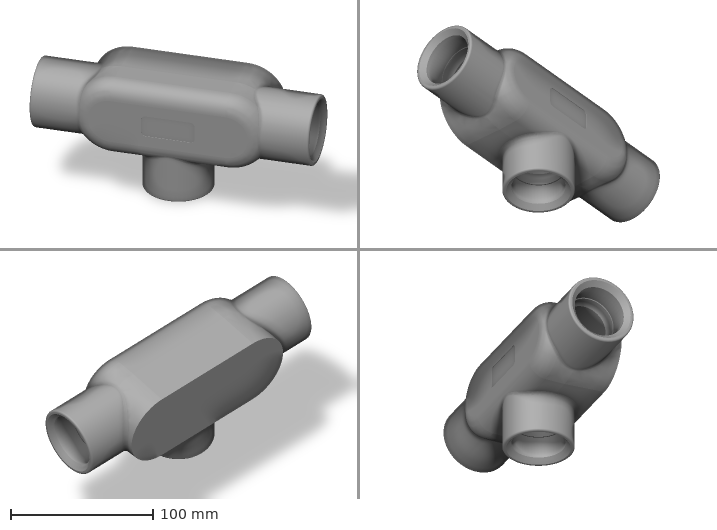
import cadquery as cq
import math

run_length = 203.5
branch_reach = 59.6
port_diameter = 50.9
port_radius = port_diameter / 2
port_root = 20.3
rim_round = 1.5

mouth_radius = 22.8
chamfer_depth = 3.7
socket_radius = 19.1
socket_depth = 20.0
seat_radius = 18.3
throat_radius = 16.5
seat_end_depth = 24.5
cove_radius = 4.0

body_height = 59.0
arc_center_spacing = 83.8
body_back = 31.1
body_front = 27.7
back_draft_degrees = 2.7
front_draft_degrees = 1.0
front_round = 12.8
port_blend = 2.6

plate_length = 39.0
plate_height = 16.0
plate_corner = 3.3
plate_depth = 0.5

wall_tolerance = 0.05


def capsule():
    """Sketch of the body outline in the plane through the port axes."""
    overall_length = arc_center_spacing + body_height
    return cq.Workplane("XZ").slot2D(overall_length, body_height)


def make_body():
    """Two halves drafted away from the parting plane, the front one with a rounded edge."""
    front = capsule().extrude(body_front, taper=front_draft_degrees).faces("<Y").edges().fillet(front_round)
    back = capsule().extrude(-body_back, taper=back_draft_degrees)
    return front.union(back)


def along_run(shape, side):
    """Turn a shape built along +Z to lie along X; side is +1 or -1."""
    return shape.rotate((0, 0, 0), (0, 1, 0), side * 90)


def along_branch(shape):
    """Turn a shape built along +Z to point down."""
    return shape.rotate((0, 0, 0), (1, 0, 0), 180)


def make_port(reach):
    """Solid port along +Z, from its root inside the body to its mouth."""
    root = cq.Workplane("XY", origin=(0, 0, port_root))
    port = root.circle(port_radius).extrude(reach - port_root)
    return port.rotate((0, 0, 0), (0, 0, 1), 90)


def make_bore(reach):
    """Cutter along +Z: throat, cove, seat, socket and mouth chamfer."""
    seat_end = reach - seat_end_depth
    socket_start = reach - socket_depth
    cove_center = seat_radius - cove_radius
    cove_angle = math.acos((throat_radius - cove_center) / cove_radius)
    cove_end = seat_end - cove_radius * math.sin(cove_angle)
    cove_middle = (
        cove_center + cove_radius * math.cos(cove_angle / 2),
        seat_end - cove_radius * math.sin(cove_angle / 2),
    )
    return (
        cq.Workplane("XZ")
        .lineTo(throat_radius, 0)
        .lineTo(throat_radius, cove_end)
        .threePointArc(cove_middle, (seat_radius, seat_end))
        .lineTo(seat_radius, socket_start)
        .lineTo(socket_radius, socket_start)
        .lineTo(socket_radius, reach - chamfer_depth)
        .lineTo(mouth_radius, reach)
        .lineTo(0, reach)
        .close()
        .revolve(360, (0, 0, 0), (0, 1, 0))
    )


def at_all_ports(make_shape):
    """Place one shape, made for a given reach, at each of the three ports."""
    half_run = run_length / 2
    return [
        along_run(make_shape(half_run), 1),
        along_run(make_shape(half_run), -1),
        along_branch(make_shape(branch_reach)),
    ]


def on_circle(a, b):
    """True when the offset (a, b) from a port axis lies on the port wall."""
    return abs(math.hypot(a, b) - port_radius) < wall_tolerance


def on_port_wall(point):
    """True for a point on a port wall, away from the port mouth."""
    near_run = abs(point.x) < run_length / 2 - chamfer_depth
    near_branch = -branch_reach + chamfer_depth < point.z < 0
    on_run = near_run and on_circle(point.y, point.z)
    on_branch = near_branch and on_circle(point.x, point.y)
    return on_run or on_branch


def joins_body(edge):
    """True for an edge where a port wall runs into the body."""
    return all(on_port_wall(point) for point in edge.positions([0.0, 0.3, 0.7, 1.0]))


outer = make_body()
for port in at_all_ports(make_port):
    outer = outer.union(port)
blends = [edge for edge in outer.edges().vals() if joins_body(edge)]
outer = outer.newObject(blends).fillet(port_blend)
outer = outer.faces("<X or >X or <Z").edges().fillet(rim_round)

result = outer
for bore in at_all_ports(make_bore):
    result = result.cut(bore)

plate = (
    cq.Workplane("XZ", origin=(0, -body_front, 0))
    .rect(plate_length, plate_height)
    .extrude(-plate_depth)
    .edges("|Y")
    .fillet(plate_corner)
)
result = result.cut(plate)